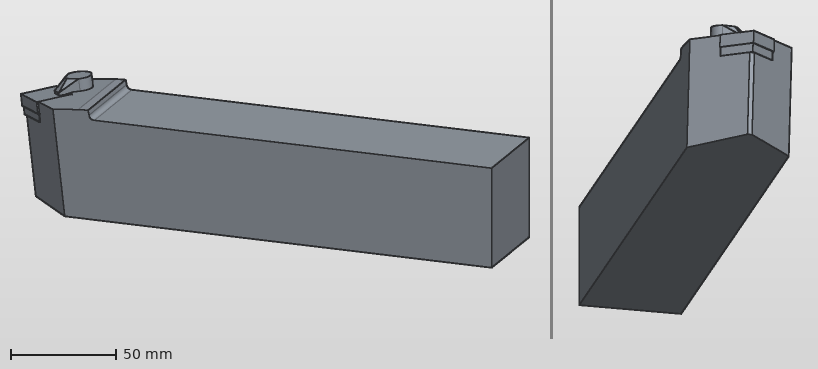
import cadquery as cq
import math

LENGTH = 249.7
WIDTH = 50.0
SHANK_HEIGHT = 50.0
HEAD_TILT = 6.5
SLOPE_END_X = 38.7
LAND_END_X = 44.0
LAND_RISE = 0.2
STEP_WALL_FOOT_X = 44.5
STEP_FILLET = 2.5
FLANK_SETBACK = 1.2
NOSE_FLAT = 2.2

INSERT_SIDE = 18.7
INSERT_THICKNESS = 6.0
SHIM_SETBACK = 0.7
SHIM_THICKNESS = 4.2

CLAMP_X = 27.2
CLAMP_Y = 8.0
CLAMP_RADIUS = 6.5
CLAMP_TOP = 7.0
CLAMP_GAP = 0.87
CLAMP_DIRECTION = 225.0
NOSE_ROOT_OFFSET = 2.5
NOSE_TOP_END = (6.5, 1.2)
NOSE_FOOT_END = (12.0, 2.5)
NOSE_LIP = 1.2
RELIEF_END = 5.2
FOOT_START = 9.5
HEEL_RADIUS = 1.2
HEEL_OFFSET = 4.5

tilt = math.radians(HEAD_TILT)
head_plane = cq.Plane(
    origin=(0, 0, SHANK_HEIGHT),
    xDir=(math.cos(tilt), 0, math.sin(tilt)),
    normal=(-math.sin(tilt), 0, math.cos(tilt)),
)


def place_on_head(shape):
    """Move a Workplane from the tilted local frame to the part's axes."""
    return cq.Workplane(shape.val().moved(cq.Location(head_plane)))


def square_block(setback, top, thickness):
    """Square plate on its diagonal; all plates share the seat's back corner."""
    back_x = INSERT_SIDE * math.sqrt(2)
    half_diagonal = (back_x - setback) / 2
    middle_x = setback + half_diagonal
    block = (
        cq.Workplane("XY", origin=(0, 0, top - thickness))
        .moveTo(setback, 0)
        .lineTo(middle_x, -half_diagonal)
        .lineTo(back_x, 0)
        .lineTo(middle_x, half_diagonal)
        .close()
        .extrude(thickness)
    )
    return place_on_head(block)


def make_shank():
    """Side profile with the sloped head and the step down to the shank."""
    land_z = SHANK_HEIGHT + SLOPE_END_X * math.tan(tilt)
    fillet_x = STEP_WALL_FOOT_X + STEP_FILLET
    fillet_z = SHANK_HEIGHT + STEP_FILLET
    arc_reach = STEP_FILLET * math.sqrt(0.5)
    return (
        cq.Workplane("XZ")
        .moveTo(0, 0)
        .lineTo(LENGTH, 0)
        .lineTo(LENGTH, SHANK_HEIGHT)
        .lineTo(fillet_x, SHANK_HEIGHT)
        .threePointArc((fillet_x - arc_reach, fillet_z - arc_reach), (STEP_WALL_FOOT_X, fillet_z))
        .lineTo(LAND_END_X, land_z + LAND_RISE)
        .lineTo(SLOPE_END_X, land_z)
        .lineTo(0, SHANK_HEIGHT)
        .close()
        .extrude(WIDTH / 2, both=True)
    )


def make_nose_envelope():
    """Arrow-shaped prism, square to the tilted face, that trims the head."""
    half_flat = NOSE_FLAT / 2
    tip_x = FLANK_SETBACK + half_flat
    reach_y = WIDTH
    shoulder_x = FLANK_SETBACK + reach_y
    far_x = 1.2 * LENGTH
    outline = [
        (tip_x, -half_flat),
        (shoulder_x, -reach_y),
        (far_x, -reach_y),
        (far_x, reach_y),
        (shoulder_x, reach_y),
        (tip_x, half_flat),
    ]
    envelope = (
        cq.Workplane("XY", origin=(0, 0, -2 * SHANK_HEIGHT))
        .polyline(outline).close().extrude(3 * SHANK_HEIGHT)
    )
    return place_on_head(envelope)


def nose_section(end):
    """Tapered nose outline starting at the disc axis."""
    end_offset, half_end = end
    half_root = math.sqrt(CLAMP_RADIUS**2 - NOSE_ROOT_OFFSET**2)
    return [
        (0, -half_root),
        (NOSE_ROOT_OFFSET, -half_root),
        (end_offset, -half_end),
        (end_offset, half_end),
        (NOSE_ROOT_OFFSET, half_root),
        (0, half_root),
    ]


def make_nose_facets():
    """Faceted nose above the lip: upright flank triangles below sloping ones."""
    foot = [cq.Vector(x, y, NOSE_LIP) for x, y in nose_section(NOSE_FOOT_END)]
    top = [cq.Vector(x, y, CLAMP_TOP) for x, y in nose_section(NOSE_TOP_END)]
    facets = [foot, top, [foot[2], foot[3], top[3], top[2]], [foot[5], foot[0], top[0], top[5]]]
    for back, root, end in ((0, 1, 2), (5, 4, 3)):
        facets.append([foot[back], foot[root], top[root], top[back]])
        facets.append([foot[root], foot[end], top[root]])
        facets.append([top[root], foot[end], top[end]])
    faces = [
        cq.Face.makeFromWires(cq.Wire.makePolygon(corners, close=True))
        for corners in facets
    ]
    return cq.Workplane(cq.Solid.makeSolid(cq.Shell.makeShell(faces)).fix())


def make_clamp():
    """Raised disc on a heel pin, with a sloping nose that bears on the insert."""
    disc = (
        cq.Workplane("XY", origin=(0, 0, CLAMP_GAP))
        .circle(CLAMP_RADIUS).extrude(CLAMP_TOP - CLAMP_GAP)
    )
    nose_side = (
        cq.Workplane("XY")
        .box(CLAMP_RADIUS, 2 * CLAMP_RADIUS, CLAMP_TOP, centered=(False, True, False))
        .translate((NOSE_ROOT_OFFSET, 0, 0))
    )
    foot = cq.Workplane("XY").polyline(nose_section(NOSE_FOOT_END)).close().extrude(NOSE_LIP)
    nose = make_nose_facets()
    relief = (
        cq.Workplane("XZ")
        .polyline([(0, 0), (FOOT_START, 0), (RELIEF_END, CLAMP_GAP), (0, CLAMP_GAP)])
        .close().extrude(CLAMP_RADIUS, both=True)
    )
    heel = (
        cq.Workplane("XY").center(-HEEL_OFFSET, 0)
        .circle(HEEL_RADIUS).extrude(CLAMP_TOP / 2)
    )
    clamp = disc.cut(nose_side).union(nose.union(foot).cut(relief)).union(heel)
    clamp = clamp.rotate((0, 0, 0), (0, 0, 1), CLAMP_DIRECTION).translate((CLAMP_X, CLAMP_Y, 0))
    return place_on_head(clamp)


def make_holder():
    """Shank with its trimmed head, shim and clamp as one body."""
    seat = square_block(0, 0, INSERT_THICKNESS)
    shim = square_block(SHIM_SETBACK, -INSERT_THICKNESS, SHIM_THICKNESS)
    head = make_shank().intersect(make_nose_envelope()).cut(seat)
    return head.union(shim).union(make_clamp()).cut(seat)


insert = square_block(0, 0, INSERT_THICKNESS)
holder = make_holder()

result = cq.Compound.makeCompound([holder.val(), insert.val()])